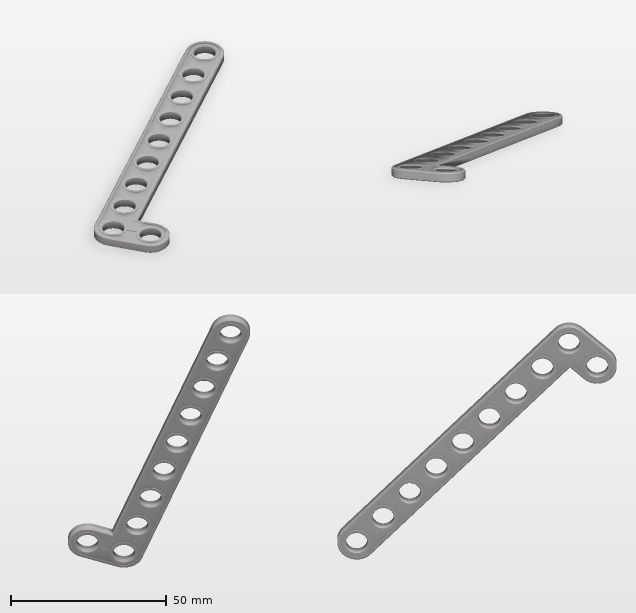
import cadquery as cq

length = 112.5
long_arm_holes = 9
short_arm_holes = 2
hole_diameter = 7.0
ring_diameter = 9.2
rim_width = 1.1
recess_depth = 0.2
edge_chamfer = 0.29
groove_width = 0.5
groove_depth = 0.2

pitch = length / long_arm_holes
end_radius = pitch / 2
thickness = pitch / 4

far_x = (short_arm_holes - 1) * pitch
far_y = (long_arm_holes - 1) * pitch
hole_centers = [(0, row * pitch) for row in range(long_arm_holes)]
hole_centers += [(column * pitch, 0) for column in range(1, short_arm_holes)]


def l_outline(radius):
    """Closed L-shaped outline that keeps the distance `radius` from the hole rows."""
    corner_mid = -radius / 2**0.5
    return (
        cq.Workplane("XY")
        .moveTo(0, -radius)
        .lineTo(far_x, -radius)
        .threePointArc((far_x + radius, 0), (far_x, radius))
        .lineTo(radius, radius)
        .lineTo(radius, far_y)
        .threePointArc((0, far_y + radius), (-radius, far_y))
        .lineTo(-radius, 0)
        .threePointArc((corner_mid, corner_mid), (0, -radius))
        .close()
    )


def cylinders(diameter, height):
    """One cylinder standing on the XY plane at every hole centre."""
    return cq.Workplane("XY").pushPoints(hole_centers).circle(diameter / 2).extrude(height)


def drilled_plate():
    """L-shaped plate with its holes, chamfered on every edge of both faces."""
    plate = l_outline(end_radius).extrude(thickness)
    plate = plate.cut(cylinders(hole_diameter, thickness))
    return plate.faces("<Z or >Z").chamfer(edge_chamfer)


def bottom_recess():
    """Shallow pocket in the bottom face, inside the rim, with a groove between the corner holes."""
    cut_depth = recess_depth + groove_depth
    pocket = l_outline(end_radius - rim_width).extrude(recess_depth)
    groove = cq.Workplane("XY").center(pitch / 2, 0).rect(pitch, groove_width).extrude(cut_depth)
    return pocket.union(groove).cut(cylinders(ring_diameter, cut_depth))


recess = bottom_recess()
top_recess = recess.mirror("XY", (0, 0, thickness / 2))
result = drilled_plate().cut(recess).cut(top_recess)